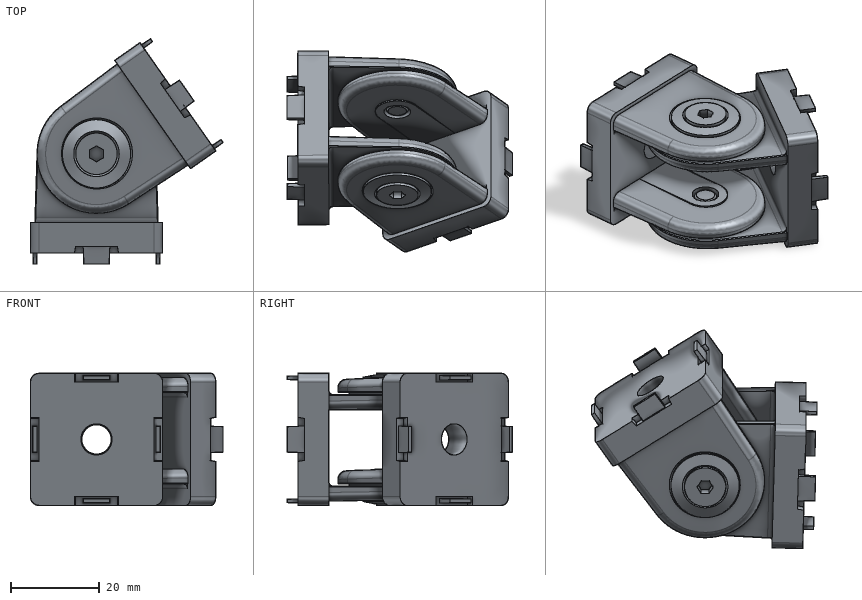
import cadquery as cq
import math

OVERALL_LENGTH = 51.1
OPENING_ANGLE = 35.0
FLIP_ANGLE = (OPENING_ANGLE - 90.0) / 2

BLOCK_WIDTH = 30.0
BLOCK_DEPTH = 7.0
BLOCK_INNER_Y = -15.55
BLOCK_OUTER_Y = BLOCK_INNER_Y - BLOCK_DEPTH
CORNER_RADIUS = 2.0
HOLE_OUTER_DIAMETER = 7.05
HOLE_INNER_DIAMETER = 6.65

NOTCH_DEPTH = 1.5
NOTCH_MOUTH_WIDTH = 10.0
NOTCH_FLOOR_WIDTH = 9.5
NOTCH_RADIAL_DEPTH = 2.0
TAB_WIDTH = 6.05
TAB_THICKNESS = 1.0
TAB_OFFSET = 13.95
TAB_TIP_INSET = 0.1
TAB_TIP_OFFSET = TAB_OFFSET + TAB_THICKNESS / 2 - TAB_TIP_INSET
ANGLE = math.radians(OPENING_ANGLE)
TAB_END = (OVERALL_LENGTH - TAB_TIP_OFFSET * math.cos(ANGLE)) / (1 + math.sin(ANGLE))
TAB_LENGTH = TAB_END + BLOCK_OUTER_Y + NOTCH_DEPTH

ARM_TIP_RADIUS = 13.5
ARM_BASE_HALF_WIDTH = 14.0
ARM_BASE_THICKNESS = 3.4
ARM_TIP_THICKNESS = 2.9
ARM_EDGE_RADIUS = 2.0
ARM_EDGE_CHAMFER = 0.2
ARM_ROOT_RADIUS = 1.0
JOINT_GAP = 0.45
JOINT_MIDDLE_Z = 10.35
INNER_ARM_Z = JOINT_MIDDLE_Z - JOINT_GAP / 2
OUTER_ARM_Z = JOINT_MIDDLE_Z + JOINT_GAP / 2

PAD_RADIUS = 5.0
PAD_HEIGHT = 0.5
BOLT_HOLE_DIAMETER = 6.0

BUSH_DIAMETER = 15.5
BUSH_RIM_Z = 14.1
BUSH_TOP_Z = 14.6
SEAT_DIAMETER = 10.3
BUSH_HOLE_CHAMFER = 0.3

WASHER_DIAMETER = 21.8

HEAD_DIAMETER = 9.4
SHANK_DIAMETER = 5.0
HEAD_TOP_Z = BLOCK_WIDTH / 2
HEAD_EDGE_Z = BUSH_TOP_Z - (SEAT_DIAMETER - HEAD_DIAMETER) / 2
SEAT_BOTTOM_Z = BUSH_TOP_Z - (SEAT_DIAMETER - SHANK_DIAMETER) / 2
BOLT_END_RECESS = 0.2
BOLT_END_Z = INNER_ARM_Z - ARM_BASE_THICKNESS + BOLT_END_RECESS
BOLT_END_CHAMFER = 0.4
SOCKET_FLATS = 3.1
SOCKET_DEPTH = 2.55


def revolved(profile):
    """Solid of revolution about Z from (radius, z) points."""
    return cq.Workplane("XZ").polyline(profile).close().revolve(360, (0, 0), (0, 1))


def around_block(feature):
    """Four copies of a feature, one on each edge of the square block."""
    return [feature.rotate((0, 0, 0), (0, 1, 0), 90 * i) for i in range(4)]


def make_notch():
    floor_y = BLOCK_OUTER_Y + NOTCH_DEPTH
    profile = [
        (-NOTCH_MOUTH_WIDTH / 2, BLOCK_OUTER_Y),
        (NOTCH_MOUTH_WIDTH / 2, BLOCK_OUTER_Y),
        (NOTCH_FLOOR_WIDTH / 2, floor_y),
        (-NOTCH_FLOOR_WIDTH / 2, floor_y),
    ]
    back = BLOCK_WIDTH / 2 - NOTCH_RADIAL_DEPTH
    return cq.Workplane("XY", origin=(0, 0, back)).polyline(profile).close().extrude(NOTCH_RADIAL_DEPTH)


def make_tab():
    taper = math.degrees(math.atan(TAB_TIP_INSET / TAB_LENGTH))
    return (
        cq.Workplane("XZ", origin=(0, BLOCK_OUTER_Y + NOTCH_DEPTH, TAB_OFFSET))
        .rect(TAB_WIDTH, TAB_THICKNESS)
        .extrude(TAB_LENGTH, taper=taper)
    )


def make_block():
    block = (
        cq.Workplane("XZ", origin=(0, BLOCK_INNER_Y, 0))
        .rect(BLOCK_WIDTH, BLOCK_WIDTH)
        .extrude(BLOCK_DEPTH)
        .edges("|Y")
        .fillet(CORNER_RADIUS)
    )
    hole = (
        cq.Workplane("XZ", origin=(0, BLOCK_INNER_Y, 0))
        .circle(HOLE_INNER_DIAMETER / 2)
        .workplane(offset=BLOCK_DEPTH)
        .circle(HOLE_OUTER_DIAMETER / 2)
        .loft()
    )
    block = block.cut(hole)
    for notch in around_block(make_notch()):
        block = block.cut(notch)
    for tab in around_block(make_tab()):
        block = block.union(tab)
    return block


def make_arm():
    """Tapering plate with its joint face at z = 0 and its outer face below."""
    corner_distance = math.hypot(ARM_BASE_HALF_WIDTH, BLOCK_INNER_Y)
    tangent_angle = math.atan2(BLOCK_INNER_Y, ARM_BASE_HALF_WIDTH) + math.acos(
        ARM_TIP_RADIUS / corner_distance
    )
    tangent_x = ARM_TIP_RADIUS * math.cos(tangent_angle)
    tangent_y = ARM_TIP_RADIUS * math.sin(tangent_angle)
    plate = (
        cq.Workplane("XY")
        .moveTo(-ARM_BASE_HALF_WIDTH, BLOCK_INNER_Y)
        .lineTo(ARM_BASE_HALF_WIDTH, BLOCK_INNER_Y)
        .lineTo(tangent_x, tangent_y)
        .threePointArc((0, ARM_TIP_RADIUS), (-tangent_x, tangent_y))
        .close()
        .extrude(-ARM_BASE_THICKNESS)
    )
    side_profile = [
        (BLOCK_INNER_Y, 0),
        (BLOCK_INNER_Y, -ARM_BASE_THICKNESS),
        (ARM_TIP_RADIUS, -ARM_TIP_THICKNESS),
        (ARM_TIP_RADIUS, 0),
    ]
    wedge = cq.Workplane("YZ").polyline(side_profile).close().extrude(ARM_BASE_HALF_WIDTH, both=True)
    arm = plate.intersect(wedge)
    arm = arm.faces("<Z").edges("not <Y").fillet(ARM_EDGE_RADIUS)
    arm = arm.faces(">Z").edges("not <Y").chamfer(ARM_EDGE_CHAMFER)
    root_fillet = (
        cq.Workplane("YZ")
        .moveTo(BLOCK_INNER_Y, 0)
        .lineTo(BLOCK_INNER_Y + ARM_ROOT_RADIUS, 0)
        .radiusArc((BLOCK_INNER_Y, ARM_ROOT_RADIUS), ARM_ROOT_RADIUS)
        .close()
        .extrude(ARM_BASE_HALF_WIDTH - ARM_EDGE_CHAMFER, both=True)
    )
    return arm.union(root_fillet)


def make_inner_arm():
    """Arm with a level pad that runs from the hinge to the block, and the bolt hole."""
    pad = (
        cq.Workplane("XY", origin=(0, 0, -ARM_BASE_THICKNESS))
        .moveTo(-PAD_RADIUS, BLOCK_INNER_Y)
        .lineTo(PAD_RADIUS, BLOCK_INNER_Y)
        .lineTo(PAD_RADIUS, 0)
        .threePointArc((0, PAD_RADIUS), (-PAD_RADIUS, 0))
        .close()
        .extrude(PAD_HEIGHT)
    )
    bolt_hole = cq.Workplane("XY").circle(BOLT_HOLE_DIAMETER / 2).extrude(-ARM_BASE_THICKNESS)
    return make_arm().union(pad).cut(bolt_hole)


def make_outer_arm():
    """Arm with the bush hole, chamfered where it meets the outer face."""
    radius = BUSH_DIAMETER / 2
    slope = (ARM_BASE_THICKNESS - ARM_TIP_THICKNESS) / (ARM_TIP_RADIUS - BLOCK_INNER_Y)
    face_depth = slope * ARM_TIP_RADIUS + ARM_TIP_THICKNESS
    bush_hole = revolved(
        [
            (0, 0),
            (radius, 0),
            (radius, BUSH_HOLE_CHAMFER - face_depth),
            (radius + 2 * BUSH_HOLE_CHAMFER, -face_depth - BUSH_HOLE_CHAMFER),
            (0, -face_depth - BUSH_HOLE_CHAMFER),
        ]
    )
    return make_arm().cut(bush_hole)


def make_bracket():
    inner_arm = make_inner_arm().translate((0, 0, INNER_ARM_Z))
    outer_arm = make_outer_arm().translate((0, 0, -OUTER_ARM_Z))
    return make_block().union(inner_arm).union(outer_arm)


def make_bush():
    return revolved(
        [
            (SHANK_DIAMETER / 2, OUTER_ARM_Z),
            (BUSH_DIAMETER / 2, OUTER_ARM_Z),
            (BUSH_DIAMETER / 2, BUSH_RIM_Z),
            (SEAT_DIAMETER / 2, BUSH_TOP_Z),
            (SHANK_DIAMETER / 2, SEAT_BOTTOM_Z),
        ]
    )


def make_washer():
    return (
        cq.Workplane("XY", origin=(0, 0, INNER_ARM_Z))
        .circle(WASHER_DIAMETER / 2)
        .circle(SHANK_DIAMETER / 2)
        .extrude(JOINT_GAP)
    )


def make_bolt():
    shank_radius = SHANK_DIAMETER / 2
    bolt = revolved(
        [
            (0, BOLT_END_Z),
            (shank_radius - BOLT_END_CHAMFER, BOLT_END_Z),
            (shank_radius, BOLT_END_Z + BOLT_END_CHAMFER),
            (shank_radius, SEAT_BOTTOM_Z),
            (HEAD_DIAMETER / 2, HEAD_EDGE_Z),
            (HEAD_DIAMETER / 2, HEAD_TOP_Z),
            (0, HEAD_TOP_Z),
        ]
    )
    across_corners = SOCKET_FLATS / math.cos(math.pi / 6)
    socket = (
        cq.Workplane("XY", origin=(0, 0, HEAD_TOP_Z))
        .polygon(6, across_corners)
        .extrude(-SOCKET_DEPTH)
        .rotate((0, 0, 0), (0, 0, 1), 90)
    )
    return bolt.cut(socket)


def flipped(body):
    """The body's counterpart on the other half of the hinge."""
    flip = math.radians(FLIP_ANGLE)
    return body.rotate((0, 0, 0), (math.cos(flip), math.sin(flip), 0), 180)


bodies = []
for body in (make_bracket(), make_bush(), make_washer(), make_bolt()):
    bodies.append(body.val())
    bodies.append(flipped(body).val())

result = cq.Compound.makeCompound(bodies)